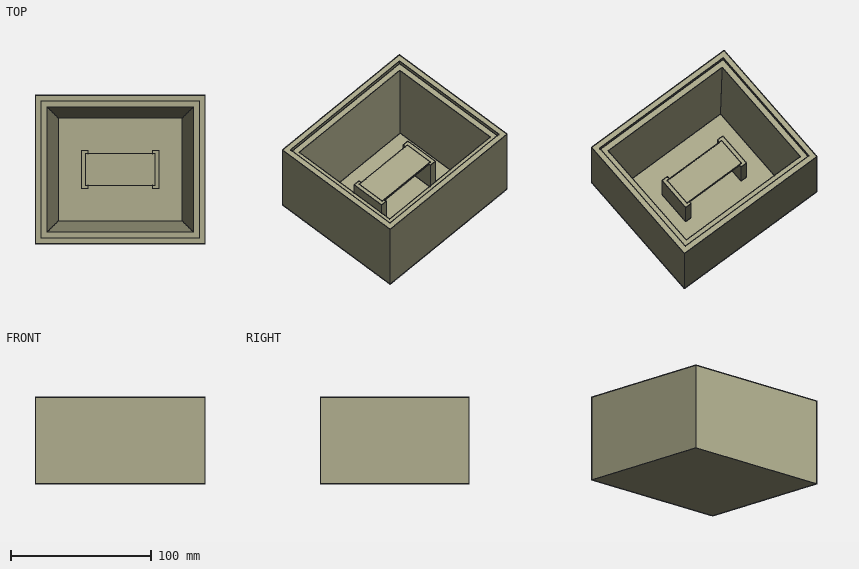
import cadquery as cq
import math

LENGTH = 121.0
WIDTH = 106.0
HEIGHT = 62.0
RIM_WALL = 4.1
RIM_DEPTH = 3.0
LEDGE_WIDTH = 4.4
FLOOR_THICKNESS = 2.0
CAVITY_TAPER = 8.0

SUPPORT_SPAN = 55.5
SUPPORT_THICKNESS = 5.0
SUPPORT_WIDTH = 27.0
SUPPORT_TOP = 27.0

PLATE_LENGTH = 49.7
PLATE_WIDTH = 22.6
PLATE_THICKNESS = 1.5

recess_length = LENGTH - 2 * RIM_WALL
recess_width = WIDTH - 2 * RIM_WALL
cavity_length = recess_length - 2 * LEDGE_WIDTH
cavity_width = recess_width - 2 * LEDGE_WIDTH
ledge_height = HEIGHT - RIM_DEPTH
cavity_depth = ledge_height - FLOOR_THICKNESS
support_offset = (SUPPORT_SPAN - SUPPORT_THICKNESS) / 2


def make_housing():
    """Box with a shallow rim recess above a cavity that narrows to the floor."""
    body = cq.Workplane("XY").box(LENGTH, WIDTH, HEIGHT, centered=(True, True, False))
    recess = (
        cq.Workplane("XY")
        .workplane(offset=ledge_height)
        .rect(recess_length, recess_width)
        .extrude(RIM_DEPTH)
    )
    inset = cavity_depth * math.tan(math.radians(CAVITY_TAPER))
    cavity = (
        cq.Workplane("XY")
        .workplane(offset=FLOOR_THICKNESS)
        .rect(cavity_length - 2 * inset, cavity_width - 2 * inset)
        .workplane(offset=cavity_depth)
        .rect(cavity_length, cavity_width)
        .loft(ruled=True)
    )
    return body.cut(recess).cut(cavity)


def make_support(x_center):
    """Upright block on the cavity floor, with a notch in its top for the plate."""
    block = (
        cq.Workplane("XY")
        .workplane(offset=FLOOR_THICKNESS)
        .center(x_center, 0)
        .rect(SUPPORT_THICKNESS, SUPPORT_WIDTH)
        .extrude(SUPPORT_TOP - FLOOR_THICKNESS)
    )
    return block.cut(make_plate())


def make_plate():
    """Plate bridging the two supports, flush with their tops."""
    return (
        cq.Workplane("XY")
        .workplane(offset=SUPPORT_TOP - PLATE_THICKNESS)
        .rect(PLATE_LENGTH, PLATE_WIDTH)
        .extrude(PLATE_THICKNESS)
    )


housing = make_housing()
supports = [make_support(side * support_offset) for side in (-1, 1)]
plate = make_plate()

result = cq.Compound.makeCompound(
    [housing.val(), *[support.val() for support in supports], plate.val()]
)